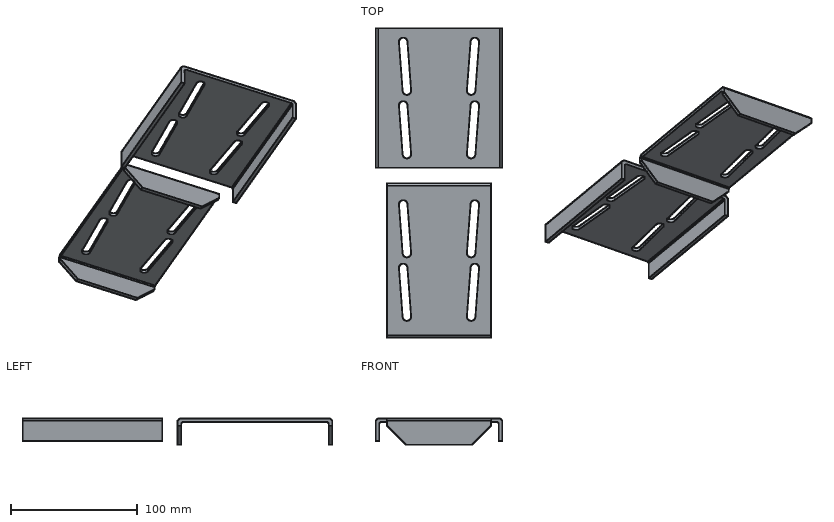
import cadquery as cq

thickness = 3.0
outer_bevel = 2.0
inner_bevel = 1.0

rear_width = 100.0
rear_length = 110.0
rear_height = 18.0

front_width = 82.0
front_length = 122.0
front_height = 21.0
flange_corner_cut = 15.0

overall_length = 243.94
gap = overall_length - rear_length - front_length

slot_width = 6.5
slot_centre_distance = 38.5
slot_tilt = 4.3
slot_offset_x = 26.75
slot_pitch_y = 50.0

rear_centre_y = rear_length / 2
front_centre_y = -gap - front_length / 2


def channel(plane, span, height, depth):
    """Channel open downward, with its section in the given plane and both bends bevelled inside and out."""
    half = span / 2
    inner = half - thickness
    return (
        cq.Workplane(plane)
        .moveTo(-half, -height)
        .lineTo(-half, -outer_bevel)
        .lineTo(-half + outer_bevel, 0)
        .lineTo(half - outer_bevel, 0)
        .lineTo(half, -outer_bevel)
        .lineTo(half, -height)
        .lineTo(inner, -height)
        .lineTo(inner, -thickness - inner_bevel)
        .lineTo(inner - inner_bevel, -thickness)
        .lineTo(-inner + inner_bevel, -thickness)
        .lineTo(-inner, -thickness - inner_bevel)
        .lineTo(-inner, -height)
        .close()
        .extrude(depth / 2, both=True)
    )


def slot_cutters():
    """Four slots through the plate, each pair closer together at its -Y end."""
    slot_length = slot_centre_distance + slot_width
    cutters = cq.Workplane("XY")
    for side in (-1, 1):
        for row in (-1, 1):
            cutter = (
                cq.Workplane("XY")
                .center(side * slot_offset_x, row * slot_pitch_y / 2)
                .slot2D(slot_length, slot_width, 90 - side * slot_tilt)
                .extrude(-thickness)
            )
            cutters = cutters.add(cutter)
    return cutters.combine()


def flange_corner_cutters():
    """Triangular prisms that cut the lower corners of the front bracket flanges at 45 degrees."""
    half = front_width / 2
    cutters = cq.Workplane("XY")
    for side in (-1, 1):
        cutter = (
            cq.Workplane("XZ")
            .moveTo(side * half, -front_height)
            .lineTo(side * half, -front_height + flange_corner_cut)
            .lineTo(side * (half - flange_corner_cut), -front_height)
            .close()
            .extrude(front_length / 2, both=True)
        )
        cutters = cutters.add(cutter)
    return cutters.combine()


def make_rear_bracket():
    bracket = channel("XZ", rear_width, rear_height, rear_length).cut(slot_cutters())
    return bracket.translate((0, rear_centre_y, 0))


def make_front_bracket():
    bracket = channel("YZ", front_length, front_height, front_width)
    bracket = bracket.cut(slot_cutters()).cut(flange_corner_cutters())
    return bracket.translate((0, front_centre_y, 0))


rear_bracket = make_rear_bracket()
front_bracket = make_front_bracket()

result = cq.Compound.makeCompound([rear_bracket.val(), front_bracket.val()])